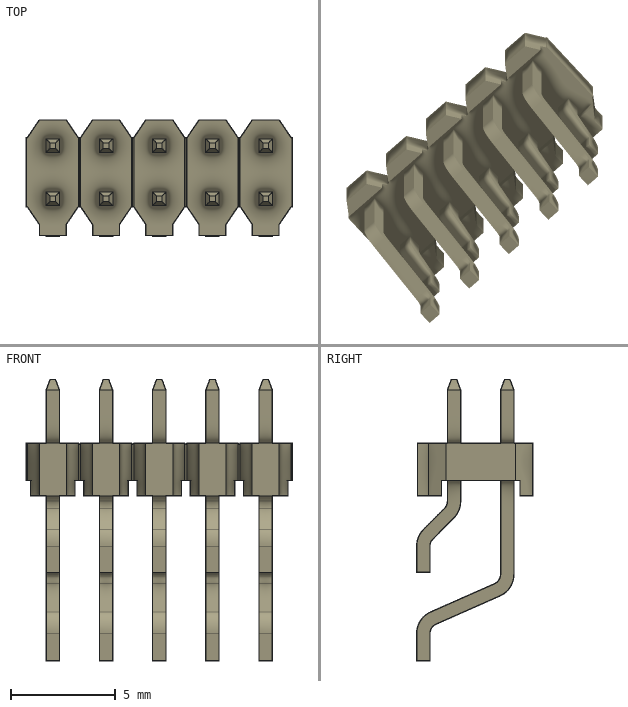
import cadquery as cq
import math

BODY_LENGTH = 12.7
CELLS = 5
PITCH = BODY_LENGTH / CELLS

BODY_HEIGHT = 2.52
CORE_HALF_DEPTH = 1.65
CELL_HALF_DEPTH = 2.5
NOSE_FRONT = 3.02
CELL_STEP = 0.05
NOSE_HALF_WIDTH = 0.65
GROOVE_DEPTH = 0.05
CHANNEL_HEIGHT = 0.72
CHANNEL_HALF_DEPTH = 1.87

PIN_WIDTH = 0.65
OVERALL_HEIGHT = 13.42
PIN_TOP = 5.55
TIP_HEIGHT = 0.51
TIP_WIDTH = 0.27
BEND_INNER_RADIUS = 0.5
FOOT_Y = -2.74
BACK_BENDS = (-4.27, -6.04)
BACK_FOOT_BOTTOM = PIN_TOP - OVERALL_HEIGHT
FRONT_BENDS = (-0.59, -2.07)
FRONT_FOOT_BOTTOM = -3.65

CELL_CENTRES = [(i - (CELLS - 1) / 2) * PITCH for i in range(CELLS)]


def make_cell(x):
    """Octagonal cell with a square nose toward -Y."""
    half_width = PITCH / 2 - CELL_STEP
    right_side = [
        (NOSE_HALF_WIDTH, -NOSE_FRONT),
        (NOSE_HALF_WIDTH, -CELL_HALF_DEPTH),
        (half_width, -CORE_HALF_DEPTH),
        (half_width, CORE_HALF_DEPTH),
        (NOSE_HALF_WIDTH, CELL_HALF_DEPTH),
    ]
    left_side = [(-px, py) for px, py in reversed(right_side)]
    outline = cq.Workplane("XY").polyline(right_side + left_side).close()
    return outline.extrude(BODY_HEIGHT).translate((x, 0, 0))


def make_groove(x):
    """V-shaped cutter for the line between two cells."""
    profile = [
        (x - CELL_STEP, BODY_HEIGHT),
        (x, BODY_HEIGHT - GROOVE_DEPTH),
        (x + CELL_STEP, BODY_HEIGHT),
    ]
    cutter = cq.Workplane("XZ").polyline(profile).close()
    return cutter.extrude(CORE_HALF_DEPTH, both=True)


def make_body():
    body = cq.Workplane("XY").box(
        BODY_LENGTH, 2 * CORE_HALF_DEPTH, BODY_HEIGHT, centered=(True, True, False)
    )
    for x in CELL_CENTRES:
        body = body.union(make_cell(x))
    for x in CELL_CENTRES[:-1]:
        body = body.cut(make_groove(x + PITCH / 2))
    channel = cq.Workplane("XY").box(
        BODY_LENGTH, 2 * CHANNEL_HALF_DEPTH, CHANNEL_HEIGHT, centered=(True, True, False)
    )
    return body.cut(channel)


def make_pin(row_y, bends, foot_bottom):
    """Square pin at X = 0 that jogs toward -Y between its two bends."""
    half = PIN_WIDTH / 2
    upper_bend, lower_bend = bends
    bend_angle = math.atan2(row_y - FOOT_Y, upper_bend - lower_bend)
    miter = half * math.tan(bend_angle / 2)
    shoulder = PIN_TOP - TIP_HEIGHT

    profile = [
        (row_y - half, shoulder),
        (row_y - half, upper_bend + miter),
        (FOOT_Y - half, lower_bend + miter),
        (FOOT_Y - half, foot_bottom),
        (FOOT_Y + half, foot_bottom),
        (FOOT_Y + half, lower_bend - miter),
        (row_y + half, upper_bend - miter),
        (row_y + half, shoulder),
    ]
    pin = cq.Workplane("YZ").polyline(profile).close().extrude(half, both=True)

    inner_corners = [profile[1], profile[5]]
    outer_corners = [profile[2], profile[6]]
    for corners, radius in (
        (inner_corners, BEND_INNER_RADIUS),
        (outer_corners, BEND_INNER_RADIUS + PIN_WIDTH),
    ):
        for y, z in corners:
            pin = pin.edges(cq.selectors.NearestToPointSelector((0, y, z))).fillet(radius)

    tip_angle = math.degrees(math.atan2(half - TIP_WIDTH / 2, TIP_HEIGHT))
    tip = (
        cq.Workplane("XY", origin=(0, row_y, shoulder))
        .rect(PIN_WIDTH, PIN_WIDTH)
        .extrude(TIP_HEIGHT, taper=tip_angle)
    )
    return pin.union(tip)


back_pin = make_pin(PITCH / 2, BACK_BENDS, BACK_FOOT_BOTTOM)
front_pin = make_pin(-PITCH / 2, FRONT_BENDS, FRONT_FOOT_BOTTOM)

result = make_body()
for cell_x in CELL_CENTRES:
    for pin in (back_pin, front_pin):
        result = result.union(pin.translate((cell_x, 0, 0)))